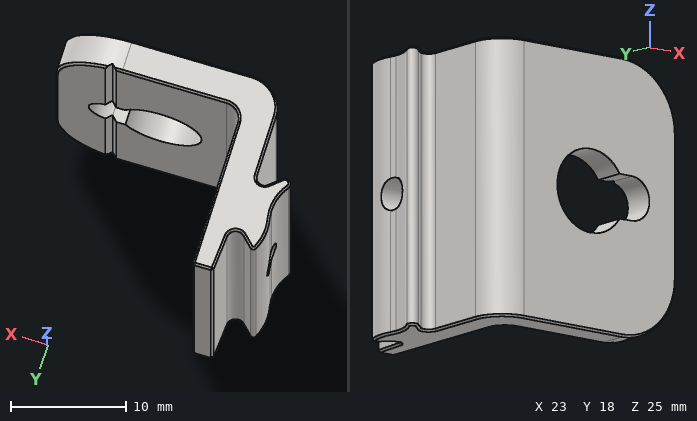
import cadquery as cq
import math

HEIGHT = 25.0
MID_HEIGHT = HEIGHT / 2
FLANGE_LENGTH = 20.0
WALL_LENGTH = 18.0
THICKNESS = 3.0
INNER_BEND_RADIUS = 1.5
OUTER_BEND_RADIUS = 3.0
CORNER_RADIUS = 6.0
EDGE_CHAMFER = 0.2

WALL_TIP = (1.1, WALL_LENGTH)
UPPER_RECESS_CORNER = (0.72, 12.95)
UPPER_RECESS_RADIUS = 0.8
UPPER_LIP_CORNER = (-1.68, 15.32)
UPPER_LIP_RADIUS = 0.3
FACE_BULGE_MID = (-2.3, 13.5)
FACE_BULGE_END = (-2.22, 12.05)
FACE_FLAT_END = (-2.15, 11.35)
FACE_HOLLOW_MID = (-2.35, 10.0)
LOWER_LIP_CENTER = (-2.52, 8.58)
LOWER_LIP_RADIUS = 0.5
LOWER_LIP_START_ANGLE = -214.0
LOWER_RECESS_CORNER = (0, 10.1)
LOWER_RECESS_RADIUS = 0.7

KEYHOLE_X = 10.5
KEYHOLE_RADIUS = 3.75
SLOT_END_X = 15.0
SLOT_RADIUS = 2.0

WALL_HOLE_Y = 11.7
WALL_HOLE_DIAMETER = 2.9

V_GROOVE_X = 15.0
V_GROOVE_DEPTH = 0.5

ARC_MID = math.sqrt(0.5)


def lower_lip_point(angle):
    """Point on the round tip of the lower lip."""
    return (
        LOWER_LIP_CENTER[0] + LOWER_LIP_RADIUS * math.cos(angle),
        LOWER_LIP_CENTER[1] + LOWER_LIP_RADIUS * math.sin(angle),
    )


def bracket_body():
    """L profile with the two-lipped clip on the outer face of the wall."""
    outer_mid = OUTER_BEND_RADIUS * (1 - ARC_MID)
    inner_start = THICKNESS + INNER_BEND_RADIUS
    inner_mid = inner_start - INNER_BEND_RADIUS * ARC_MID
    reach_x = LOWER_RECESS_CORNER[0] - LOWER_LIP_CENTER[0]
    reach_y = LOWER_RECESS_CORNER[1] - LOWER_LIP_CENTER[1]
    tangent_angle = math.acos(LOWER_LIP_RADIUS / math.hypot(reach_x, reach_y))
    side_angle = math.atan2(reach_y, reach_x) - tangent_angle
    start_angle = math.radians(LOWER_LIP_START_ANGLE)
    lip_start = lower_lip_point(start_angle)
    lip_tip = lower_lip_point((start_angle + side_angle) / 2)
    lip_end = lower_lip_point(side_angle)
    return (
        cq.Workplane("XY")
        .moveTo(OUTER_BEND_RADIUS, 0)
        .lineTo(FLANGE_LENGTH, 0)
        .lineTo(FLANGE_LENGTH, THICKNESS)
        .lineTo(inner_start, THICKNESS)
        .threePointArc((inner_mid, inner_mid), (THICKNESS, inner_start))
        .lineTo(THICKNESS, WALL_LENGTH)
        .lineTo(*WALL_TIP)
        .lineTo(*UPPER_RECESS_CORNER)
        .lineTo(*UPPER_LIP_CORNER)
        .threePointArc(FACE_BULGE_MID, FACE_BULGE_END)
        .lineTo(*FACE_FLAT_END)
        .threePointArc(FACE_HOLLOW_MID, lip_start)
        .threePointArc(lip_tip, lip_end)
        .lineTo(*LOWER_RECESS_CORNER)
        .lineTo(0, OUTER_BEND_RADIUS)
        .threePointArc((outer_mid, outer_mid), (OUTER_BEND_RADIUS, 0))
        .close()
        .extrude(HEIGHT)
    )


def round_upright_edge(body, corner, radius):
    """Fillet the full-height edge that stands on the given profile corner."""
    return body.edges(cq.selectors.NearestToPointSelector((*corner, MID_HEIGHT))).fillet(radius)


def keyhole():
    """Round opening with a round-ended slot toward the flange's free end."""
    plane = cq.Workplane("XZ", origin=(0, THICKNESS, 0))
    opening = plane.center(KEYHOLE_X, MID_HEIGHT).circle(KEYHOLE_RADIUS).extrude(THICKNESS)
    slot_length = SLOT_END_X - KEYHOLE_X
    slot = (
        plane.center(KEYHOLE_X + slot_length / 2, MID_HEIGHT)
        .slot2D(slot_length + 2 * SLOT_RADIUS, 2 * SLOT_RADIUS)
        .extrude(THICKNESS)
    )
    return opening.union(slot)


def wall_hole():
    """Cylinder running through the clip and the wall along X."""
    return (
        cq.Workplane("YZ", origin=(THICKNESS, 0, 0))
        .center(WALL_HOLE_Y, MID_HEIGHT)
        .circle(WALL_HOLE_DIAMETER / 2)
        .extrude(-2 * THICKNESS)
    )


def v_groove():
    """Triangular prism along the full height of the flange."""
    return (
        cq.Workplane("XY")
        .moveTo(V_GROOVE_X - V_GROOVE_DEPTH, THICKNESS)
        .lineTo(V_GROOVE_X, THICKNESS - V_GROOVE_DEPTH)
        .lineTo(V_GROOVE_X + V_GROOVE_DEPTH, THICKNESS)
        .close()
        .extrude(HEIGHT)
    )


def break_rim(body):
    """Chamfer the outlines of both ends, the flange corners and the free ends."""
    corners = body.faces("%CYLINDER").faces(
        cq.selectors.BoxSelector(
            (FLANGE_LENGTH - CORNER_RADIUS, 0, 0),
            (FLANGE_LENGTH, THICKNESS, HEIGHT),
        )
    ).edges("%CIRCLE")
    rim = body.faces("<Z or >Z or >X or >Y").edges("not |Y").add(corners)
    return rim.chamfer(EDGE_CHAMFER)


body = bracket_body()
body = round_upright_edge(body, UPPER_RECESS_CORNER, UPPER_RECESS_RADIUS)
body = round_upright_edge(body, UPPER_LIP_CORNER, UPPER_LIP_RADIUS)
body = round_upright_edge(body, LOWER_RECESS_CORNER, LOWER_RECESS_RADIUS)
body = body.edges("|Y and >X").fillet(CORNER_RADIUS)
result = break_rim(body).cut(keyhole()).cut(wall_hole()).cut(v_groove())